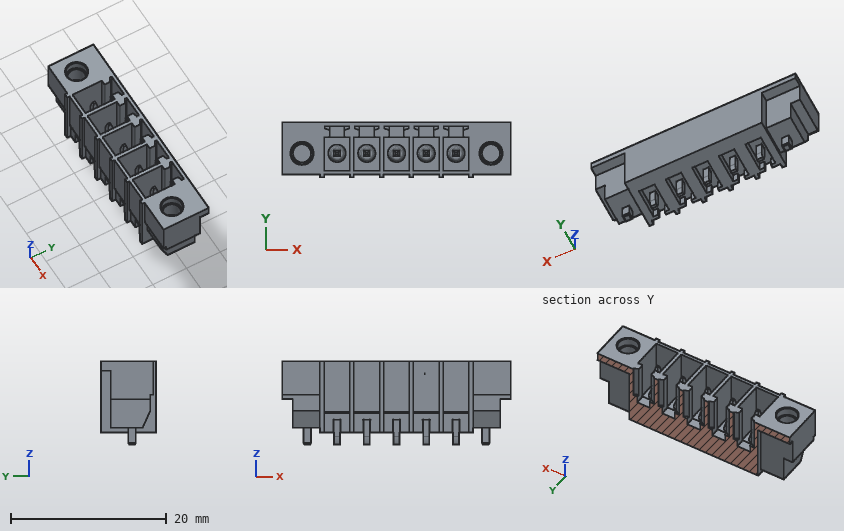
import cadquery as cq
import math


contact_count = 5
pitch = 3.8
contact_xs = [(i - (contact_count - 1) / 2) * pitch for i in range(contact_count)]
rib_xs = [(i - contact_count / 2) * pitch for i in range(1, contact_count)]

length = 29.35
height = 9.18
back_y = 4.0
front_y = -2.73
lower_front_recess = 0.2
lower_front_y = front_y + lower_front_recess
lower_front_top = 2.5
core_half_length = 9.83

rib_front_y = -3.08
rib_width = 0.53
end_rib_width = 0.6

flange_step_z = 4.3
flange_foot_half_length = 13.32
flange_bottom = 0.62
flange_back_y = 2.7
flange_lip_z = 7.95
foot_front_y = -2.35
foot_front_top = 4.85
foot_slope_top = 2.82
foot_slope_bottom_y = -1.35

screw_x = 12.12
screw_rim_diameter = 3.0
screw_bore_diameter = 2.75
screw_bore_depth = 1.2
screw_hole_diameter = 2.32
screw_hole_depth = 3.52
screw_chamfer = (screw_rim_diameter - screw_bore_diameter) / 2

cell_width = 3.3
cell_front_y = -2.25
cell_back_y = 2.08
cell_floor = 2.67

key_width = 1.88
key_back_y = 3.5
key_floor = 3.67
key_corner_radius = 0.12
wing_span = 3.1
wing_corner_y = 3.2
wing_mouth_y = 2.95
wing_floor = 4.67

hollow_width = 2.23
hollow_front_y = -2.05
hollow_roof = 1.67
notch_width = 0.95

boss_base_diameter = 2.25
boss_top_diameter = 1.7
boss_height = 0.88
boss_fillet = 0.18

contact_width = 0.8
contact_top = 7.78
contact_bottom = -1.53
tip_height = 1.23
tip_width = 0.3
tail_height = 1.1
tail_end_width = 0.35

peg_x = (contact_count + 1) / 2 * pitch
peg_width = 1.0
peg_chamfer = 0.15
peg_chamfer_height = 0.2


def box(x0, x1, y0, y1, z0, z1):
    """Box between two opposite corners."""
    return cq.Workplane("XY").box(x1 - x0, y1 - y0, z1 - z0, centered=False).translate((x0, y0, z0))


def make_core():
    """Block that holds the cells, its front face set back near the bottom."""
    profile = [
        (back_y, 0),
        (back_y, height),
        (front_y, height),
        (front_y, lower_front_top + lower_front_recess),
        (lower_front_y, lower_front_top),
        (lower_front_y, 0),
    ]
    return cq.Workplane("YZ").polyline(profile).close().extrude(core_half_length, both=True)


def make_rib(x, width):
    """Full-height rib that stands out from the front wall."""
    return box(x - width / 2, x + width / 2, rib_front_y, cell_front_y, 0, height)


def make_flange_block():
    """Both flanges as one bar: side profile swept along X, with the ends stepped in below."""
    profile = [
        (back_y, height),
        (front_y, height),
        (front_y, foot_front_top),
        (foot_front_y, foot_front_top),
        (foot_front_y, foot_slope_top),
        (foot_slope_bottom_y, flange_bottom),
        (flange_back_y, flange_bottom),
        (flange_back_y, flange_lip_z),
        (back_y, flange_lip_z),
    ]
    bar = cq.Workplane("YZ").polyline(profile).close().extrude(length / 2, both=True)
    for x0, x1 in ((-length / 2, -flange_foot_half_length), (flange_foot_half_length, length / 2)):
        bar = bar.cut(box(x0, x1, front_y, back_y, 0, flange_step_z))
    return bar


def make_screw_hole(x):
    """Blind stepped hole with a chamfered rim."""
    profile = [
        (0, height),
        (screw_rim_diameter / 2, height),
        (screw_bore_diameter / 2, height - screw_chamfer),
        (screw_bore_diameter / 2, height - screw_bore_depth),
        (screw_hole_diameter / 2, height - screw_bore_depth),
        (screw_hole_diameter / 2, height - screw_hole_depth),
        (0, height - screw_hole_depth),
    ]
    hole = cq.Workplane("XZ").polyline(profile).close().revolve(360, (0, 0, 0), (0, 1, 0))
    return hole.translate((x, 0, 0))


def make_cell(x):
    """Open-topped pocket around one contact."""
    return box(x - cell_width / 2, x + cell_width / 2, cell_front_y, cell_back_y, cell_floor, height)


def make_hollow(x):
    """Hollow in the underside below a cell, with a narrow notch through the front wall."""
    half_hollow = hollow_width / 2
    half_notch = notch_width / 2
    hollow = box(x - half_hollow, x + half_hollow, hollow_front_y, cell_back_y, 0, hollow_roof)
    return hollow.union(box(x - half_notch, x + half_notch, front_y, hollow_front_y, 0, hollow_roof))


def make_contact_hole(x):
    """Square hole that the contact passes through."""
    half = contact_width / 2
    return box(x - half, x + half, -half, half, 0, height)


def make_key_slot(x):
    """T-shaped slot open to the back of a cell; its wings are shallower than its middle."""
    half_key = key_width / 2
    half_span = wing_span / 2
    slot = box(-half_key, half_key, cell_back_y, key_back_y, key_floor, height)
    wings = (
        cq.Workplane("XY", origin=(0, 0, wing_floor))
        .moveTo(-half_span, key_back_y)
        .lineTo(half_span, key_back_y)
        .lineTo(half_span, wing_corner_y)
        .lineTo(half_key, wing_mouth_y)
        .lineTo(-half_key, wing_mouth_y)
        .lineTo(-half_span, wing_corner_y)
        .close()
        .extrude(height - wing_floor)
    )
    mouth = (
        cq.Workplane("XY", origin=(0, 0, key_floor))
        .moveTo(-half_key - key_corner_radius, cell_back_y)
        .radiusArc((-half_key, cell_back_y + key_corner_radius), -key_corner_radius)
        .lineTo(half_key, cell_back_y + key_corner_radius)
        .radiusArc((half_key + key_corner_radius, cell_back_y), -key_corner_radius)
        .close()
        .extrude(height - key_floor)
    )
    return slot.union(wings).union(mouth).translate((x, 0, 0))


def make_boss(x):
    """Tapered round boss on the cell floor, with a rounded top edge."""
    taper = math.degrees(math.atan2((boss_base_diameter - boss_top_diameter) / 2, boss_height))
    return (
        cq.Workplane("XY", origin=(x, 0, cell_floor))
        .circle(boss_base_diameter / 2)
        .extrude(boss_height, taper=taper)
        .faces(">Z")
        .edges()
        .fillet(boss_fillet)
    )


def make_housing():
    housing = make_core().union(make_flange_block())
    for x in rib_xs:
        housing = housing.union(make_rib(x, rib_width))
    end_rib_x = core_half_length - end_rib_width / 2
    for x in (-end_rib_x, end_rib_x):
        housing = housing.union(make_rib(x, end_rib_width))
    for x in (-screw_x, screw_x):
        housing = housing.cut(make_screw_hole(x))

    for x in contact_xs:
        housing = housing.cut(make_cell(x)).cut(make_key_slot(x)).cut(make_hollow(x))
        housing = housing.union(make_boss(x)).cut(make_contact_hole(x))
    return housing


def taper_middle(inset, rise):
    """Middle of an arc that leaves a straight side smoothly and ends inset and rise further on."""
    radius = (inset**2 + rise**2) / (2 * inset)
    half_angle = math.asin(rise / radius) / 2
    return radius * (1 - math.cos(half_angle)), radius * math.sin(half_angle)


def make_contact(x):
    """Square contact: round tapers on front and back at both ends, flat tapers on the tip's sides."""
    half = contact_width / 2
    half_tip = tip_width / 2
    half_tail = tail_end_width / 2
    tip_base = contact_top - tip_height
    tail_base = contact_bottom + tail_height
    tip_inset, tip_rise = taper_middle(half - half_tip, tip_height)
    tail_inset, tail_drop = taper_middle(half - half_tail, tail_height)
    side_profile = (
        cq.Workplane("YZ")
        .moveTo(half, tail_base)
        .lineTo(half, tip_base)
        .threePointArc((half - tip_inset, tip_base + tip_rise), (half_tip, contact_top))
        .lineTo(-half_tip, contact_top)
        .threePointArc((tip_inset - half, tip_base + tip_rise), (-half, tip_base))
        .lineTo(-half, tail_base)
        .threePointArc((tail_inset - half, tail_base - tail_drop), (-half_tail, contact_bottom))
        .lineTo(half_tail, contact_bottom)
        .threePointArc((half - tail_inset, tail_base - tail_drop), (half, tail_base))
        .close()
    )
    front_profile = cq.Workplane("XZ").polyline(
        [
            (half, contact_bottom),
            (half, tip_base),
            (half_tip, contact_top),
            (-half_tip, contact_top),
            (-half, tip_base),
            (-half, contact_bottom),
        ]
    ).close()
    contact = side_profile.extrude(half, both=True).intersect(front_profile.extrude(half, both=True))
    return contact.translate((x, 0, 0))


def make_peg(x):
    """Square peg standing out of the flange underside, with a chamfered end."""
    end_width = peg_width - 2 * peg_chamfer
    shank_bottom = contact_bottom + peg_chamfer_height
    half = peg_width / 2
    shank = box(x - half, x + half, -half, half, shank_bottom, flange_bottom)
    end = (
        cq.Workplane("XY", origin=(x, 0, contact_bottom))
        .rect(end_width, end_width)
        .workplane(offset=peg_chamfer_height)
        .rect(peg_width, peg_width)
        .loft()
    )
    return shank.union(end)


housing = make_housing()
contacts = [make_contact(x) for x in contact_xs]
pegs = [make_peg(x) for x in (-peg_x, peg_x)]
result = cq.Compound.makeCompound(
    [housing.val(), *[c.val() for c in contacts], *[p.val() for p in pegs]]
)